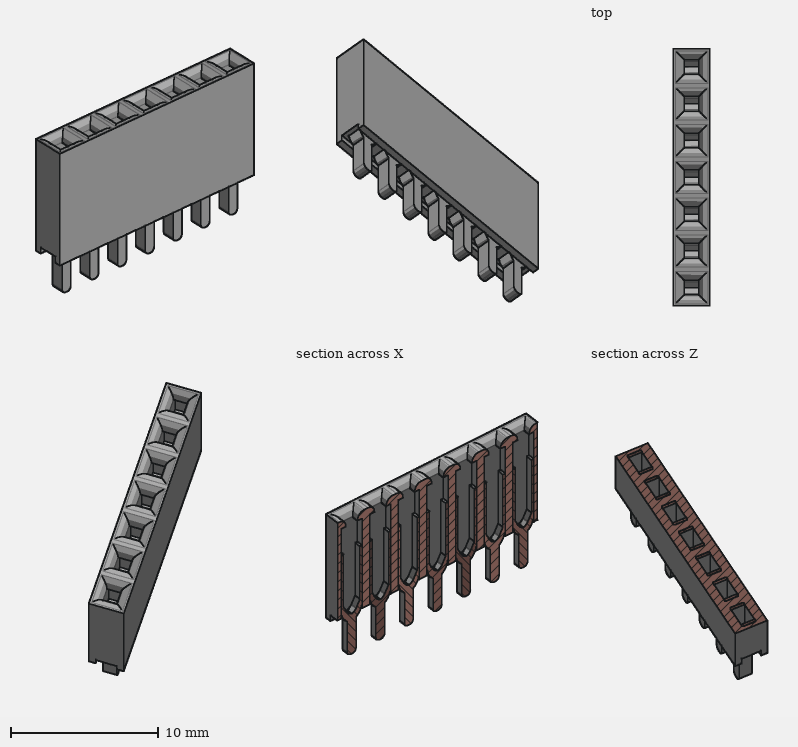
import cadquery as cq
import math


pitch = 2.5
contact_count = 7
housing_width = 2.5
housing_length = contact_count * pitch
housing_height = 9.0
channel_width = 1.5
channel_height = 0.5

entry_size = 1.0
funnel_radius = 0.6
entry_land = 0.1
funnel_bottom = housing_height - funnel_radius
cavity_length = 1.8
cavity_top = funnel_bottom - entry_land

contact_width = entry_size
tail_thickness = 0.8
tail_length = 3.0
tail_tip_radius = 0.35
base_half_width = cavity_length / 2
base_start_angle = math.radians(37)
arm_thickness = 0.2
arm_top = 6.0
floor_height = 0.5
floor_arc_half_width = 0.38
floor_crease_angle = math.radians(18)
floor_flank_angle = math.radians(62)

row_positions = [(i - (contact_count - 1) / 2) * pitch for i in range(contact_count)]


def box_on(z_bottom, size_x, size_y, size_z):
    """Box centred on the Z axis, standing on the given height."""
    box = cq.Workplane("XY").box(size_x, size_y, size_z, centered=(True, True, False))
    return box.translate((0, 0, z_bottom))


def flared_prism(plane):
    """Bar whose section flares from the entry width to the rim with two convex quarter arcs."""
    half_entry = entry_size / 2
    half_rim = half_entry + funnel_radius
    arc_mid_offset = funnel_radius * (1 - math.sqrt(0.5))
    arc_mid = (half_entry + arc_mid_offset, housing_height - arc_mid_offset)
    return (
        cq.Workplane(plane)
        .moveTo(-half_rim, housing_height)
        .threePointArc((-arc_mid[0], arc_mid[1]), (-half_entry, funnel_bottom))
        .lineTo(half_entry, funnel_bottom)
        .threePointArc(arc_mid, (half_rim, housing_height))
        .close()
        .extrude(half_rim, both=True)
    )


def make_socket():
    """Void of one position: square funnel, short straight entry and contact cavity."""
    funnel = flared_prism("XZ").intersect(flared_prism("YZ"))
    entry = box_on(cavity_top, entry_size, entry_size, entry_land)
    cavity = box_on(0, entry_size, cavity_length, cavity_top)
    return funnel.union(entry).union(cavity)


def make_housing():
    body = box_on(0, housing_width, housing_length, housing_height)
    body = body.cut(box_on(0, channel_width, housing_length, channel_height))
    socket = make_socket()
    for y in row_positions:
        body = body.cut(socket.translate((0, y, 0)))
    return body


def rising_arc(start, end_y, start_angle, end_angle):
    """Mid and end point of an arc in the YZ plane whose slope grows from start_angle to end_angle."""
    start_y, start_z = start
    radius = (end_y - start_y) / (math.sin(end_angle) - math.sin(start_angle))

    def point_at(slope):
        return (
            start_y + radius * (math.sin(slope) - math.sin(start_angle)),
            start_z + radius * (math.cos(start_angle) - math.cos(slope)),
        )

    return point_at((start_angle + end_angle) / 2), point_at(end_angle)


def mirrored(point):
    """Matching point on the -Y half of the contact."""
    return (-point[0], point[1])


def make_contact():
    """Forked contact: straight tail, rounded base and two upright arms over a tapered floor."""
    tail_corner = (tail_thickness / 2, 0)
    base_mid, base_end = rising_arc(tail_corner, base_half_width, base_start_angle, math.pi / 2)

    floor_crease = (0, floor_height)
    floor_mid, floor_end = rising_arc(
        floor_crease, floor_arc_half_width, floor_crease_angle, floor_flank_angle
    )
    arm_inner_y = base_half_width - arm_thickness
    flank_rise = (arm_inner_y - floor_arc_half_width) * math.tan(floor_flank_angle)
    flank_end = (arm_inner_y, floor_end[1] + flank_rise)
    tip_inner = (arm_inner_y, arm_top)
    tip_outer = (base_half_width, arm_top)

    fork = (
        cq.Workplane("YZ")
        .moveTo(*tail_corner)
        .threePointArc(base_mid, base_end)
        .lineTo(*tip_outer)
        .lineTo(*tip_inner)
        .lineTo(*flank_end)
        .lineTo(*floor_end)
        .threePointArc(floor_mid, floor_crease)
        .threePointArc(mirrored(floor_mid), mirrored(floor_end))
        .lineTo(*mirrored(flank_end))
        .lineTo(*mirrored(tip_inner))
        .lineTo(*mirrored(tip_outer))
        .lineTo(*mirrored(base_end))
        .threePointArc(mirrored(base_mid), mirrored(tail_corner))
        .close()
        .extrude(contact_width / 2, both=True)
    )
    tail = box_on(-tail_length, contact_width, tail_thickness, tail_length)
    tail = tail.edges("|X and <Z").fillet(tail_tip_radius)
    return fork.union(tail)


housing = make_housing()
contact = make_contact()
contacts = [contact.translate((0, y, 0)) for y in row_positions]

result = cq.Compound.makeCompound([housing.val(), *[c.val() for c in contacts]])